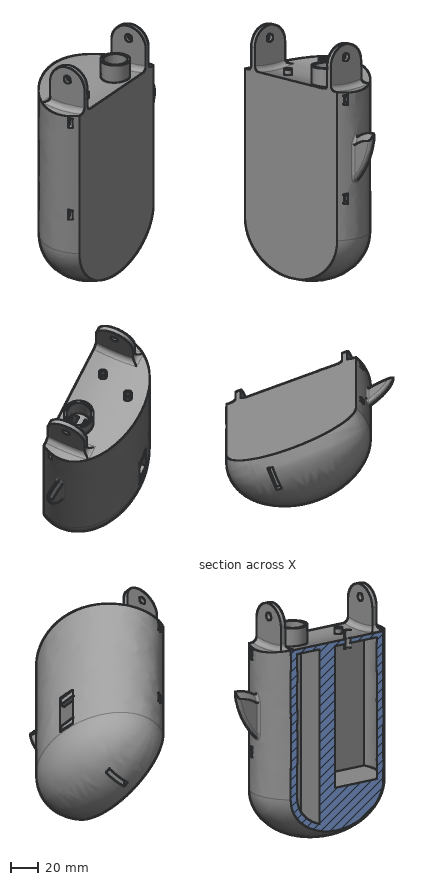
import cadquery as cq

total_height = 185.0
half_width_x = 40.0
half_length_y = 55.0
back_x = 15.0
wall = 4.0
pick_margin = 0.5
top_low_z = 111.0
top_radius = 90.0
ceiling_z = top_low_z - wall

cavity_back_x = 8.0
divider_y_min = 1.7
divider_y_max = 16.3
compartment_floor_z = 2.2

tab_y = 42.0
tab_thickness = 4.0
tab_radius = back_x
tab_center_z = total_height - half_width_x - tab_radius
tab_hole_rise = 5.0
tab_hole_radius = 3.0
tab_flare = 4.0

filler_tube = (0, 22.0, 125.0, 11.0, 9.0)
small_tubes = [(-25.0, -10.0, 120.5, 3.0, 2.0), (0, -20.0, 115.0, 3.0, 2.0)]

switch_width = 13.0
recess_height = 35.2
window_height = 23.0
recess_x = -39.0
switch_y = divider_y_min - switch_width / 2
switch_z = compartment_floor_z + recess_height / 2

slot_length = 18.5
slot_width = 3.9
slot_x = -3.0
slot_y = -20.0
slot_top_z = -27.8

dent_radius = 4.0
dent_width = 3.3
dent_x = 8.5
dent_heights = [31.0, 105.8]

fin_thickness = 5.0
fin_root_y = half_length_y - wall / 2
fin_top_root_z = 74.0
fin_top_mid = (65.0, 81.2)
fin_tip = (74.7, 82.9)
fin_outer_mid = (68.6, 61.8)
fin_bottom_root_z = 41.3
fin_bevel_drop = 5.5
fin_edge_radius = 2.2
fin_root_radius = 1.8
fin_pick_reach = 7.4


def block(x_min, x_max, y_min, y_max, z_min, z_max):
    """Axis-aligned box given by its limits."""
    size = (x_max - x_min, y_max - y_min, z_max - z_min)
    return cq.Workplane("XY").box(*size, centered=False).translate((x_min, y_min, z_min))


def rod(x, y, z_min, z_max, radius):
    """Vertical cylinder."""
    return cq.Workplane("XY", origin=(x, y, z_min)).circle(radius).extrude(z_max - z_min)


def capsule(inset):
    """Elliptical column on a half ellipsoid, shrunk by inset, without top trimming."""
    a = half_width_x - inset
    b = half_length_y - inset
    column = cq.Workplane("XY").ellipse(a, b).extrude(total_height)
    half_ellipse = (
        cq.Workplane("XY").moveTo(0, -b).ellipseArc(a, b, -90, 90, startAtCurrent=True).close()
    )
    ellipsoid = half_ellipse.revolve(360, (0, 0, 0), (0, 1, 0))
    dome = ellipsoid.intersect(block(-a, a, -b, b, -a, 0))
    return column.union(dome)


def below_dish(low_z, x_max):
    """Everything under a dished surface, from below the dome up, in front of x_max."""
    span = 2 * half_length_y
    slab = block(-half_width_x, x_max, -span, span, -half_width_x, total_height)
    dish = cq.Workplane("XZ", origin=(0, span, low_z + top_radius)).circle(top_radius).extrude(2 * span)
    above = block(-half_width_x, x_max, -span, span, low_z + top_radius, low_z + 2 * top_radius)
    return slab.cut(dish).cut(above)


def flared_top():
    """Dished body with a tab stub at each end, blended into the top by a flare."""
    stub_x_max = 2 * back_x
    body = below_dish(top_low_z, stub_x_max)
    for y in (-tab_y, tab_y):
        stub = block(-tab_radius, stub_x_max, y - tab_thickness / 2, y + tab_thickness / 2,
                     ceiling_z, tab_center_z)
        body = body.union(stub)
        foot = cq.selectors.BoxSelector(
            (-tab_radius - pick_margin, y - tab_thickness, ceiling_z),
            (stub_x_max - pick_margin, y + tab_thickness, top_low_z + wall),
        )
        body = body.edges(foot).fillet(tab_flare)
    return body


def tab(y):
    """Round-topped plate with a hanging hole."""
    plate = (
        cq.Workplane("XZ", origin=(0, y + tab_thickness / 2, 0))
        .moveTo(-tab_radius, top_low_z)
        .lineTo(-tab_radius, tab_center_z)
        .threePointArc((0, tab_center_z + tab_radius), (tab_radius, tab_center_z))
        .lineTo(tab_radius, top_low_z)
        .close()
        .extrude(tab_thickness)
    )
    hole = (
        cq.Workplane("XZ", origin=(0, y + tab_thickness, tab_center_z + tab_hole_rise))
        .circle(tab_hole_radius)
        .extrude(2 * tab_thickness)
    )
    return plate.cut(hole)


def roof_outline(x, drop):
    """Section of the space under the fin's upper arc, lowered by drop."""
    top_root = (fin_root_y, fin_top_root_z - drop)
    top_mid = (fin_top_mid[0], fin_top_mid[1] - drop)
    tip = (fin_tip[0], fin_tip[1] - drop)
    outline = (
        cq.Workplane("YZ", origin=(x, 0, 0))
        .moveTo(*top_root)
        .threePointArc(top_mid, tip)
        .lineTo(fin_tip[0], 0)
        .lineTo(fin_root_y, 0)
        .close()
    )
    return outline.val()


def fin():
    """Hook-shaped blade with a rounded outer edge and a roof-shaped upper edge."""
    half = fin_thickness / 2
    blade = (
        cq.Workplane("YZ", origin=(-half, 0, 0))
        .moveTo(fin_root_y, fin_top_root_z)
        .threePointArc(fin_top_mid, fin_tip)
        .threePointArc(fin_outer_mid, (fin_root_y, fin_bottom_root_z))
        .close()
        .extrude(fin_thickness)
    )
    near_outer_edge = cq.selectors.BoxSelector(
        (-fin_thickness, fin_outer_mid[0] - fin_pick_reach, fin_outer_mid[1] - fin_pick_reach),
        (fin_thickness, fin_outer_mid[0] + fin_pick_reach, fin_outer_mid[1] + fin_pick_reach),
    )
    blade = blade.edges(near_outer_edge).fillet(fin_edge_radius)
    roof = cq.Workplane("XY")
    for x in (-half, half):
        side = cq.Solid.makeLoft([roof_outline(0, 0), roof_outline(x, fin_bevel_drop)], True)
        roof = roof.union(cq.Workplane(side))
    return blade.intersect(roof)


def cavities():
    """Filler tank split by a rib, and the switch compartment on the other side of the divider."""
    inside = capsule(wall).intersect(below_dish(ceiling_z, cavity_back_x))
    tank_limit = block(-half_width_x, back_x, divider_y_max, half_length_y, -half_width_x, total_height)
    rib = block(-fin_thickness / 2, fin_thickness / 2, divider_y_max, half_length_y,
                -half_width_x, total_height)
    compartment_limit = block(-half_width_x, back_x, -half_length_y, divider_y_min,
                              compartment_floor_z, total_height)
    return inside.intersect(tank_limit.cut(rib)).union(inside.intersect(compartment_limit))


def switch_cut():
    """Shallow outer recess and the window through its panel."""
    y_min = switch_y - switch_width / 2
    y_max = switch_y + switch_width / 2
    recess = block(-half_width_x, recess_x, y_min, y_max,
                   switch_z - recess_height / 2, switch_z + recess_height / 2)
    window = block(-half_width_x, 0, y_min, y_max,
                   switch_z - window_height / 2, switch_z + window_height / 2)
    return recess.union(window)


def dent(side, z):
    """Half-round dent on one long end."""
    start_x = dent_x - dent_width / 2
    return (
        cq.Workplane("YZ", origin=(start_x, side * half_length_y, z))
        .circle(dent_radius)
        .extrude(dent_width)
    )


def slot():
    """Blind slot cut up into the dome."""
    return block(slot_x - slot_length / 2, slot_x + slot_length / 2,
                 slot_y - slot_width / 2, slot_y + slot_width / 2,
                 -half_width_x, slot_top_z)


def with_fin(body):
    """Body with the fin joined on and its root rounded."""
    joined = body.union(fin())
    root = cq.selectors.BoxSelector(
        (-fin_thickness, half_length_y - pick_margin, fin_bottom_root_z + wall),
        (fin_thickness, half_length_y + pick_margin, fin_tip[1]),
    )
    return joined.edges(root).fillet(fin_root_radius)


behind_back = block(back_x, 3 * back_x, -half_length_y, half_length_y, -half_width_x, total_height)
shell = capsule(0).intersect(flared_top()).cut(behind_back)
result = with_fin(shell).cut(cavities())

for end in (-tab_y, tab_y):
    result = result.union(tab(end))

for x, y, top_z, radius, bore in [filler_tube] + small_tubes:
    result = result.union(rod(x, y, ceiling_z, top_z, radius))
    result = result.cut(rod(x, y, ceiling_z, top_z, bore))

result = result.cut(switch_cut()).cut(slot())

for side in (-1, 1):
    for z in dent_heights:
        result = result.cut(dent(side, z))